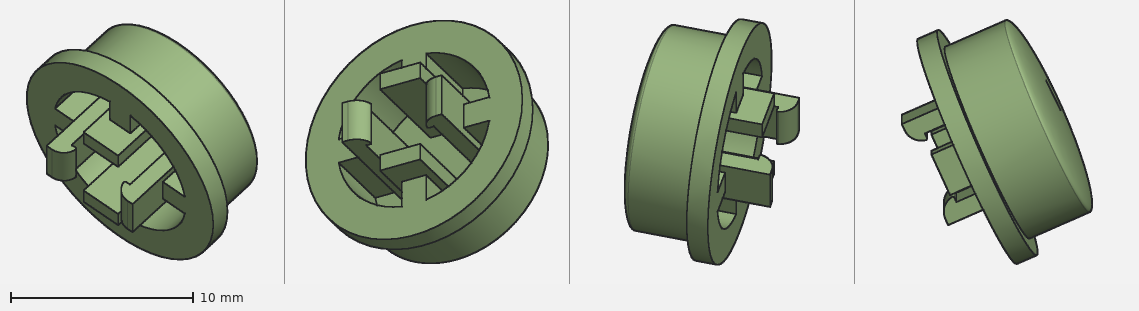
import cadquery as cq
import math


flange_diameter = 13.5
flange_thickness = 1.2
body_diameter = 11.5
body_end = 4.8
dome_height = 0.8

cavity_diameter = 9.5
cavity_depth = 4.23
rib_width = 1.5

leg_width = 2.5
leg_inner = 2.1
leg_thickness = 1.0
leg_outer = leg_inner + leg_thickness
straight_leg_length = 1.6
hook_length = 2.55
hook_flat = 0.36
hook_radius = 1.01
hook_tip_radius = 0.1


def cylinder(diameter, start, end):
    """Solid disc along Y from start to end."""
    return cq.Workplane("XZ", origin=(0, start, 0)).circle(diameter / 2).extrude(start - end)


def make_dome():
    """Half ellipsoid closing the back of the body."""
    body_radius = body_diameter / 2
    return (
        cq.Workplane("XY", origin=(0, body_end, 0))
        .ellipseArc(body_radius, dome_height, 0, 90, startAtCurrent=False)
        .lineTo(0, 0)
        .close()
        .revolve(360, (0, 0, 0), (0, 1, 0))
    )


def make_rib():
    """Rib at +X from a leg to the cavity wall, flush with the flange face."""
    rib_end = (cavity_diameter + body_diameter) / 4
    rib_start = (leg_inner + leg_outer) / 2
    return cq.Workplane("XY").box(
        rib_end - rib_start, cavity_depth, rib_width, centered=(False, False, True)
    ).translate((rib_start, 0, 0))


def make_straight_leg():
    """Plain leg at +X, standing on the cavity floor."""
    return cq.Workplane("XY").box(
        leg_thickness, cavity_depth + straight_leg_length, leg_width, centered=(False, False, True)
    ).translate((leg_inner, -straight_leg_length, 0))


def make_hooked_leg():
    """Leg at +X with a hook pointing to the axis."""
    arc_center_x = leg_outer - hook_flat
    arc_center_y = hook_radius - hook_length
    ledge_y = -straight_leg_length
    tip_x = arc_center_x - math.sqrt(hook_radius**2 - (arc_center_y - ledge_y) ** 2)
    middle = hook_radius * math.sqrt(0.5)
    return (
        cq.Workplane("XY", origin=(0, 0, -leg_width / 2))
        .moveTo(leg_outer, cavity_depth)
        .lineTo(leg_outer, -hook_length)
        .lineTo(arc_center_x, -hook_length)
        .threePointArc((arc_center_x - middle, arc_center_y - middle), (tip_x, ledge_y))
        .lineTo(leg_inner, ledge_y)
        .lineTo(leg_inner, cavity_depth)
        .close()
        .extrude(leg_width)
        .edges(cq.selectors.NearestToPointSelector((tip_x, ledge_y, 0)))
        .fillet(hook_tip_radius)
    )


def around_axis(shape, angle):
    """Turn a feature about the Y axis of the cap."""
    return shape.rotate((0, 0, 0), (0, 1, 0), angle)


result = cylinder(flange_diameter, 0, flange_thickness)
result = result.union(cylinder(body_diameter, 0, body_end))
result = result.union(make_dome())
result = result.cut(cylinder(cavity_diameter, 0, cavity_depth))

hooked_arm = make_hooked_leg().union(make_rib())
straight_arm = make_straight_leg().union(make_rib())
for side in (0, 180):
    result = result.union(around_axis(hooked_arm, side))
    result = result.union(around_axis(straight_arm, side + 90))